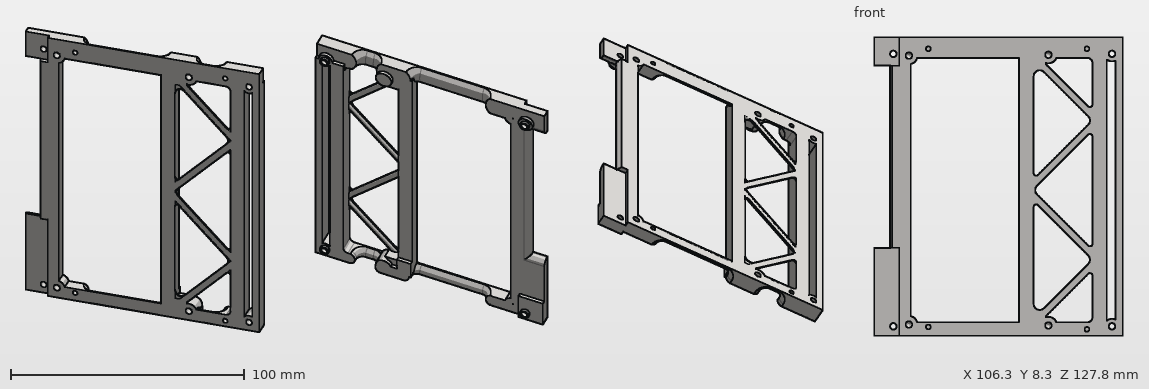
import math

import cadquery as cq

WIDTH = 106.3
HEIGHT = 127.8
RIM_Y = 0.5
RECESS_Y = 2.0
CROWN_Y = 2.5
BRACE_CROWN_Y = 1.5
DECK_Y = 5.5
RAISED_Y = 7.0
PIN_Y = 8.3
ROUND_RADIUS = 3.0

MIRROR_Z = 62.4
OPENING_HALF = 56.5
OPENING_BOTTOM = MIRROR_Z - OPENING_HALF
OPENING_TOP = MIRROR_Z + OPENING_HALF

RAIL_LEFT = 6.6
RAIL_FRONT_LEFT = 7.7
RAIL_RIGHT = 15.7
RAIL_BEVEL_Y = 0.8
RECESS_WIDTH = 10.7
LOWER_TAB_TOP = 37.7
UPPER_TAB_BOTTOM = 115.6

POST_LEFT = 61.9
POST_RIGHT = 68.2
BEAM_LEFT = 93.3
SLOT_LEFT = 99.5
SLOT_RIGHT = 103.1

BRACE_END_HALF = 52.9
WINDOW_TIP_X = 73.5
TRUSS_PITCH = 29.8
BRACE_OFFSET = 4.3
BRACE_ANGLE = 45
WIDE_ROUND = 2.5
TIGHT_ROUND = 1.0
WINDOW_ROUND = 2.0

WIDE_NOTCH = (30.4, 59.7)
NARROW_NOTCH = (81.4, 85.0)

PIN_XS = (8.2, 101.7)
PIN_OFFSET = 58.3
PIN_DIAMETER = 4.1
PIN_BOSS_DIAMETER = 6.5
PIN_BORE = 2.7
BLIND_DIAMETER = 2.8
BLIND_DEPTH = 3.8
BLIND_BOSS_RADIUS = 3.7
RAIL_BLIND = (14.8, 57.5)
POST_BLIND = (74.5, 57.9)
PILOT_DIAMETER = 2.0
PILOT_DEPTH = 3.8
PILOTS = [(23.1, 122.8), (91.0, 122.8), (23.1, 3.8), (91.0, 2.8)]

TAB_PAD_HEIGHT = 13.0
POST_PAD_HEIGHT = 11.5
BEAM_PAD_LEFT = 87.5


def block(x0, x1, y0, y1, z0, z1):
    """Box given by its limits."""
    return cq.Workplane("XY").box(x1 - x0, y1 - y0, z1 - z0, centered=False).translate((x0, y0, z0))


def rod(x, z, diameter, y0, y1):
    """Cylinder along Y."""
    plane = cq.Workplane("XZ", origin=(x, y0, z))
    return plane.circle(diameter / 2).extrude(y0 - y1)


def mirrored(offset):
    """The two heights at a distance from the mirror line."""
    return (MIRROR_Z - offset, MIRROR_Z + offset)


def window(corners):
    """Prism through the frame from (x, z, rounding radius) corners."""
    wire = cq.Workplane("XZ")
    for index, (x, z, radius) in enumerate(corners):
        before = cq.Vector(*corners[index - 1][:2])
        after = cq.Vector(*corners[(index + 1) % len(corners)][:2])
        corner = cq.Vector(x, z)
        to_before = (before - corner).normalized()
        to_after = (after - corner).normalized()
        half_angle = to_before.getAngle(to_after) / 2
        tangent = radius / math.tan(half_angle)
        start = corner + to_before * tangent
        end = corner + to_after * tangent
        bisector = (to_before + to_after).normalized()
        middle = corner + bisector * (radius / math.sin(half_angle) - radius)
        wire = wire.lineTo(start.x, start.y) if index else wire.moveTo(start.x, start.y)
        if radius:
            wire = wire.threePointArc((middle.x, middle.y), (end.x, end.y))
    return wire.close().extrude(-RAISED_Y)


def left_rail():
    """Full-height rail with a rounded back edge and a bevelled front edge."""
    centre_x = RAIL_LEFT + ROUND_RADIUS
    centre_y = DECK_Y - ROUND_RADIUS
    bevel_x = centre_x - math.sqrt(ROUND_RADIUS**2 - (centre_y - RAIL_BEVEL_Y) ** 2)
    profile = (
        cq.Workplane("XY")
        .moveTo(RAIL_FRONT_LEFT, 0)
        .lineTo(bevel_x, RAIL_BEVEL_Y)
        .threePointArc((RAIL_LEFT, centre_y), (centre_x, DECK_Y))
        .lineTo(RAIL_RIGHT, DECK_Y)
        .lineTo(RAIL_RIGHT, 0)
        .close()
    )
    return profile.extrude(HEIGHT)


def tab(z0, z1, rounded_end):
    """Tab block whose back edge is rounded at one end."""
    body = block(0, RAIL_RIGHT, 0, DECK_Y, z0, z1)
    return body.edges("|X and >Y").edges(rounded_end).fillet(ROUND_RADIUS)


def tab_recess(z0, z1):
    """Cutter for the front step of a tab."""
    return block(0, RECESS_WIDTH, 0, RECESS_Y, z0, z1)


def notch(x0, x1, z0, z1):
    """Cutter above a domed bar; each end sweeps up to the deck about an axis along Z."""
    middle = (z0 + z1) / 2
    sweep_limit = block(0, WIDTH, 0, DECK_Y, z0, z1)

    def profile(x):
        return (
            cq.Workplane("YZ", origin=(x, 0, 0))
            .moveTo(DECK_Y, z0)
            .lineTo(RIM_Y, z0)
            .threePointArc((CROWN_Y, middle), (RIM_Y, z1))
            .lineTo(DECK_Y, z1)
            .close()
        )

    edge_reach = DECK_Y - RIM_Y
    crown_reach = DECK_Y - CROWN_Y
    mouth = (
        cq.Workplane("XZ", origin=(0, DECK_Y, 0))
        .moveTo(x0 - edge_reach, z0)
        .threePointArc((x0 - crown_reach, middle), (x0 - edge_reach, z1))
        .lineTo(x1 + edge_reach, z1)
        .threePointArc((x1 + crown_reach, middle), (x1 + edge_reach, z0))
        .close()
        .extrude(DECK_Y - PIN_Y)
    )
    cutter = profile(x0).extrude(x1 - x0).union(mouth)
    for x in (x0, x1):
        turned = profile(x).revolve(360, (DECK_Y, z0), (DECK_Y, z1))
        cutter = cutter.union(turned.intersect(sweep_limit))
    return cutter


def truss_bay(front):
    """Space between the post and the beam that holds the braces."""
    return block(POST_RIGHT, BEAM_LEFT, front, RAISED_Y, *mirrored(BRACE_END_HALF))


def brace(z, rise):
    """Domed bar that starts at height z on the beam and runs to the post; rise is 1 up or -1 down."""
    half_width = BRACE_OFFSET / math.sqrt(2) / 2
    length = 2 * (BEAM_LEFT - POST_RIGHT)
    bar = (
        cq.Workplane("YZ", origin=(-length, 0, 0))
        .moveTo(0, -half_width)
        .lineTo(RIM_Y, -half_width)
        .threePointArc((BRACE_CROWN_Y, 0), (RIM_Y, half_width))
        .lineTo(0, half_width)
        .close()
        .extrude(2 * length)
        .rotate((0, 0, 0), (0, 1, 0), rise * BRACE_ANGLE)
        .translate((BEAM_LEFT, 0, z))
    )
    return bar.intersect(truss_bay(0))


def truss_windows():
    """The five rounded openings between the braces."""
    joint_low, joint_high = mirrored(TRUSS_PITCH)
    reach = BEAM_LEFT - POST_RIGHT
    windows = []
    for z in (joint_low, joint_high):
        outer = 1 if z > MIRROR_Z else -1
        windows.append(window([
            (BEAM_LEFT, z, WIDE_ROUND),
            (POST_RIGHT, z + outer * reach, WIDE_ROUND),
            (POST_RIGHT, z - outer * reach, TIGHT_ROUND),
        ]))
        edge = MIRROR_Z + outer * OPENING_HALF
        start = z + outer * BRACE_OFFSET
        windows.append(window([
            (BEAM_LEFT, start, TIGHT_ROUND),
            (BEAM_LEFT, edge, WINDOW_ROUND),
            (WINDOW_TIP_X, edge, 0),
            (WINDOW_TIP_X, start + outer * (BEAM_LEFT - WINDOW_TIP_X), 0),
        ]))
    spread = TRUSS_PITCH - BRACE_OFFSET
    windows.append(window([
        (BEAM_LEFT - spread, MIRROR_Z, WIDE_ROUND),
        (BEAM_LEFT, MIRROR_Z + spread, TIGHT_ROUND),
        (BEAM_LEFT, MIRROR_Z - spread, TIGHT_ROUND),
    ]))
    return windows


frame = block(RAIL_RIGHT, WIDTH, 0, DECK_Y, 0, HEIGHT).union(left_rail())
frame = frame.union(tab(0, LOWER_TAB_TOP, ">Z")).union(tab(UPPER_TAB_BOTTOM, HEIGHT, "<Z"))
frame = frame.cut(tab_recess(0, LOWER_TAB_TOP)).cut(tab_recess(UPPER_TAB_BOTTOM, HEIGHT))

frame = frame.union(block(0, PIN_XS[0] + PIN_BOSS_DIAMETER / 2, RECESS_Y, RAISED_Y, 0, TAB_PAD_HEIGHT))
frame = frame.union(block(POST_LEFT, POST_RIGHT, 0, RAISED_Y, 0, POST_PAD_HEIGHT))
frame = frame.union(block(POST_RIGHT, NARROW_NOTCH[0], 0, RAISED_Y, 0, OPENING_BOTTOM))
frame = frame.union(block(BEAM_LEFT, WIDTH, 0, RAISED_Y, 0, MIRROR_Z + PIN_OFFSET))
frame = frame.union(block(BEAM_PAD_LEFT, BEAM_LEFT, 0, RAISED_Y, 0, OPENING_BOTTOM + WINDOW_ROUND))

frame = frame.cut(block(RAIL_RIGHT, POST_LEFT, 0, RAISED_Y, OPENING_BOTTOM, OPENING_TOP))
frame = frame.cut(block(SLOT_LEFT, SLOT_RIGHT, 0, RAISED_Y, OPENING_BOTTOM, OPENING_TOP))
frame = frame.cut(truss_bay(RIM_Y))
for joint in mirrored(TRUSS_PITCH):
    for rise in (1, -1):
        frame = frame.union(brace(joint + rise * BRACE_OFFSET / 2, rise))
for opening in truss_windows():
    frame = frame.cut(opening)
for left, right in (WIDE_NOTCH, NARROW_NOTCH):
    frame = frame.cut(notch(left, right, 0, OPENING_BOTTOM))
    frame = frame.cut(notch(left, right, OPENING_TOP, HEIGHT))

bottom_bar_middle = OPENING_BOTTOM / 2
top_bar_middle = (OPENING_TOP + HEIGHT) / 2
frame = frame.union(block(POST_LEFT, POST_RIGHT, 0, DECK_Y, bottom_bar_middle, top_bar_middle))
frame = frame.union(block(POST_LEFT, POST_RIGHT, 0, RAISED_Y, bottom_bar_middle, POST_PAD_HEIGHT))

for (x, offset), top in ((RAIL_BLIND, DECK_Y), (POST_BLIND, RAISED_Y)):
    for z in mirrored(offset):
        frame = frame.union(rod(x, z, 2 * BLIND_BOSS_RADIUS, 0, top))
        frame = frame.cut(rod(x, z, BLIND_DIAMETER, 0, BLIND_DEPTH))
        cone = cq.Solid.makeCone(
            BLIND_DIAMETER / 2, 0, BLIND_DIAMETER / 2, cq.Vector(x, BLIND_DEPTH, z), cq.Vector(0, 1, 0)
        )
        frame = frame.cut(cq.Workplane(cone))
for x in PIN_XS:
    boss_front = RECESS_Y if x < RECESS_WIDTH else 0
    for z in mirrored(PIN_OFFSET):
        frame = frame.union(rod(x, z, PIN_BOSS_DIAMETER, boss_front, RAISED_Y))
        frame = frame.union(rod(x, z, PIN_DIAMETER, RECESS_Y, PIN_Y))
        frame = frame.cut(rod(x, z, PIN_BORE, 0, PIN_Y))
for x, z in PILOTS:
    frame = frame.cut(rod(x, z, PILOT_DIAMETER, 0, PILOT_DEPTH))

result = frame